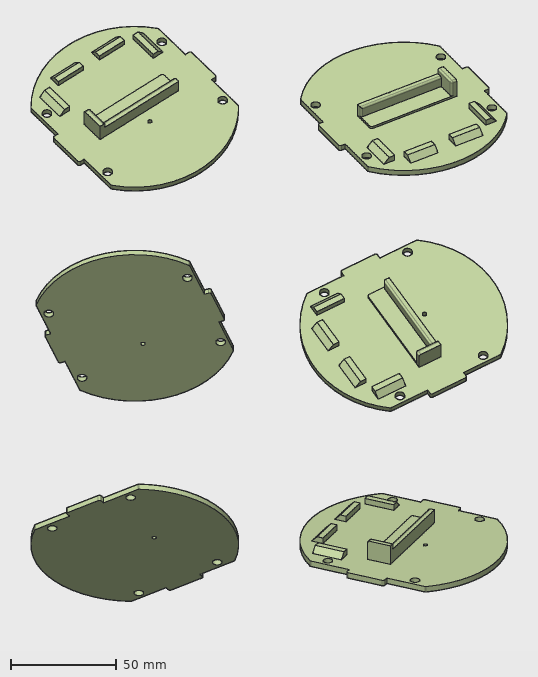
import cadquery as cq

plate_diameter = 98.7
plate_thickness = 3.0
flat_width = 77.8
overall_width = 84.0
tab_length = 19.9
edge_radius = 1.0

screw_hole_diameter = 4.5
screw_hole_x = 23.0
screw_hole_y = 35.0
pilot_hole_diameter = 2.0
pilot_hole_x = 11.4

wedge_length = 15.2
wedge_width = 6.0
wedge_height = 3.0
wedge_top_width = wedge_width - wedge_height
wedge_corner_x = -32.9
end_wedge_inner_y = 25.5
side_wedge_inner_y = 4.9

bracket_left = -6.7
bracket_width = 12.0
bracket_front = -25.5
bracket_length = 48.0
floor_height = 1.2
wall_thickness = 3.1
long_wall_height = 6.9
end_wall_height = 9.9
bracket_right = bracket_left + bracket_width


def box_at(x, y, length, width, height):
    """Box standing on the plate, with its lowest x and y corner given."""
    return cq.Workplane("XY").box(length, width, height, centered=False).translate((x, y, plate_thickness))


def make_plate():
    disc = cq.Workplane("XY").circle(plate_diameter / 2).extrude(plate_thickness)
    flats = cq.Workplane("XY").rect(plate_diameter, flat_width).extrude(plate_thickness)
    body = disc.intersect(flats).edges("|Z").fillet(edge_radius)
    tabs = cq.Workplane("XY").rect(tab_length, overall_width).extrude(plate_thickness)
    return body.union(tabs.edges("|Z").fillet(edge_radius))


def make_wedge():
    """Wedge along Y, sloped toward -X, with its vertical side at x = 0."""
    return (
        cq.Workplane("XZ")
        .moveTo(0, 0)
        .lineTo(0, wedge_height)
        .lineTo(-wedge_top_width, wedge_height)
        .lineTo(-wedge_width, 0)
        .close()
        .extrude(-wedge_length)
    )


def make_wedges():
    """One side wedge and one end wedge, mirrored across the XZ plane."""
    side = make_wedge().translate((wedge_corner_x, side_wedge_inner_y, plate_thickness))
    end = make_wedge().rotate((0, 0, 0), (0, 0, 1), -90)
    end = end.translate((wedge_corner_x, end_wedge_inner_y, plate_thickness))
    pair = side.union(end)
    return pair.union(pair.mirror("XZ"))


def make_bracket():
    floor = box_at(bracket_left, bracket_front, bracket_width, bracket_length, floor_height)
    floor = floor.edges("|Z and <X and >Y").fillet(edge_radius)

    long_wall = box_at(
        bracket_right - wall_thickness, bracket_front, wall_thickness, bracket_length, long_wall_height
    )
    long_wall = long_wall.edges("(<X and >Z) or (<X and >Y)").fillet(edge_radius)

    end_wall = box_at(bracket_left, bracket_front, bracket_width, wall_thickness, end_wall_height)
    end_wall = end_wall.edges("(<X and >Z) or (<X and >Y) or (>Y and >Z)").fillet(edge_radius)
    return floor.union(long_wall).union(end_wall)


def cut_holes(body):
    screw_points = [(x, y) for x in (-screw_hole_x, screw_hole_x) for y in (-screw_hole_y, screw_hole_y)]
    plane = cq.Workplane("XY")
    screw_holes = plane.pushPoints(screw_points).circle(screw_hole_diameter / 2).extrude(plate_thickness)
    pilot_hole = plane.center(pilot_hole_x, 0).circle(pilot_hole_diameter / 2).extrude(plate_thickness)
    return body.cut(screw_holes).cut(pilot_hole)


result = cut_holes(make_plate()).union(make_wedges()).union(make_bracket())